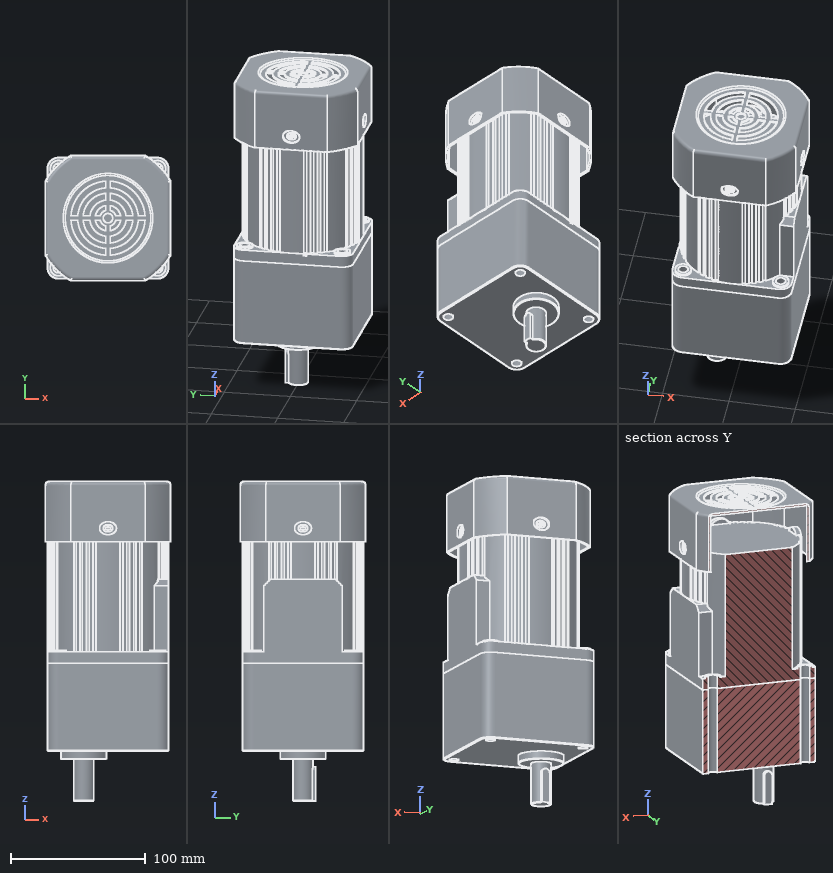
import cadquery as cq
import math

gearbox_height = 65.0
flange_thickness = 8.5
flange_top = gearbox_height + flange_thickness
cover_bottom = 155.0
cover_height = 45.0
cover_top = cover_bottom + cover_height
motor_top = 167.5

square_size = 90.0
square_half = square_size / 2
square_corner_radius = 8.5
gearbox_edge_chamfer = 0.7
mounting_circle_diameter = 104.0
mounting_offset = mounting_circle_diameter / 2 * math.cos(math.radians(45))
mounting_hole_diameter = 7.2
washer_diameter = 12.0
washer_height = 1.3

shaft_offset = -18.0
shaft_diameter = 15.0
shaft_end = -37.0
collar_diameter = 34.0
collar_height = 6.0
turned_edge_chamfer = 0.5
key_width = 6.0
key_top = -11.5
key_reach = 9.5

barrel_radius = square_half
groove_width = 2.3
groove_depth = 1.0
groove_first_angle = 13.0
groove_pitch_angle = 6.67
grooves_per_group = 4
drain_notch_drop = 1.5
drain_notch_depth = 2.5

terminal_width = 58.0
terminal_height = 54.0
terminal_chamfer = 5.0

cover_size = 93.0
cover_corner_radius = 54.0
cover_wall = (cover_size - square_size) / 2
cover_edge_fillet = 3.0
roof_thickness = 2.0

grille_recess_depth = 1.0
grille_recess_top_radius = 33.2
grille_recess_floor_radius = 31.7
grille_rings = [(27.5, 22.5), (18.5, 13.5), (9.5, 6.0)]
grille_bar_width = 3.4
grille_center_radius = 3.5

screw_height = 165.2
screw_recess_half_width = 6.3
screw_recess_half_height = 4.8
screw_recess_depth = 2.0
screw_pad_margin = 1.5
screw_pad_depth = 5.5
screw_head_half_width = 3.5
screw_head_half_height = 2.7
screw_head_rise = 0.6
screw_slot_length = 3.8
screw_slot_width = 1.2


def rounded_square(bottom, height):
    """Square block with rounded vertical corners."""
    block = cq.Workplane("XY").workplane(offset=bottom).rect(square_size, square_size).extrude(height)
    return block.edges("|Z").fillet(square_corner_radius)


def mounting_discs(diameter, bottom, height):
    """Four discs on the mounting circle, one at each corner."""
    corners = cq.Workplane("XY").workplane(offset=bottom).rect(2 * mounting_offset, 2 * mounting_offset,
                                                               forConstruction=True)
    return corners.vertices().circle(diameter / 2).extrude(height)


def shaft_cylinder(diameter, top, length):
    """Downward cylinder on the output shaft axis with a chamfered lower edge."""
    cylinder = cq.Workplane("XY").workplane(offset=top).center(shaft_offset, 0)
    cylinder = cylinder.circle(diameter / 2).extrude(-length)
    return cylinder.faces("<Z").chamfer(turned_edge_chamfer)


def on_each_side(shape):
    """Union of a shape made for the -Y side, repeated on all four sides."""
    ring = shape
    for side in range(1, 4):
        ring = ring.union(shape.rotate((0, 0, 0), (0, 0, 1), 90 * side))
    return ring


def side_ellipse(half_width, half_height, depth, length):
    """Elliptic plug on the screw axis, running outward from the given depth below the cover side."""
    plane = cq.Workplane("XZ", origin=(0, depth - cover_size / 2, screw_height))
    return plane.ellipse(half_width, half_height).extrude(length)


def screw_pads():
    """Elliptic pads that thicken the cover wall behind the screws and sit in the barrel."""
    return on_each_side(side_ellipse(screw_recess_half_width + screw_pad_margin,
                                     screw_recess_half_height + screw_pad_margin,
                                     screw_pad_depth, screw_pad_depth))


def screw_recesses():
    """Elliptic recesses for the screws."""
    return on_each_side(side_ellipse(screw_recess_half_width, screw_recess_half_height,
                                     screw_recess_depth, screw_recess_depth))


def screw_heads():
    """Low elliptic screw heads on the recess floors, each with a cross slot."""
    head = side_ellipse(screw_head_half_width, screw_head_half_height, screw_recess_depth, screw_head_rise)
    head_face_y = screw_recess_depth - screw_head_rise - cover_size / 2
    face = cq.Workplane("XZ", origin=(0, head_face_y, screw_height))
    for width, height in ((screw_slot_length, screw_slot_width), (screw_slot_width, screw_slot_length)):
        head = head.cut(face.rect(width, height).extrude(-screw_head_rise))
    return on_each_side(head)


def cover_blank(size, corner_radius, bottom, height):
    """Square prism whose corners are cut by a circle around the motor axis."""
    square = cq.Workplane("XY").workplane(offset=bottom).rect(size, size).extrude(height)
    return square.intersect(cq.Workplane("XY").workplane(offset=bottom).circle(corner_radius).extrude(height))


def make_gearbox():
    """Gear case with mounting holes, output collar, shaft and key."""
    case = rounded_square(0, gearbox_height).faces("<Z").chamfer(gearbox_edge_chamfer)
    case = case.cut(mounting_discs(mounting_hole_diameter, 0, gearbox_height))
    case = case.union(shaft_cylinder(collar_diameter, 0, collar_height))
    case = case.union(shaft_cylinder(shaft_diameter, 0, -shaft_end))

    key_radius = key_width / 2
    key = (
        cq.Workplane("XZ")
        .moveTo(shaft_offset - key_radius, shaft_end)
        .lineTo(shaft_offset - key_radius, key_top - key_radius)
        .threePointArc((shaft_offset, key_top), (shaft_offset + key_radius, key_top - key_radius))
        .lineTo(shaft_offset + key_radius, shaft_end)
        .close()
        .extrude(-key_reach)
    )
    return case.union(key)


def cooling_grooves():
    """Eight groups of grooves, mirrored about the middle of each side and repeated round the barrel."""
    length = motor_top - flange_top
    groove = cq.Workplane("XY").workplane(offset=flange_top).center(0, -barrel_radius)
    groove = groove.rect(groove_width, 2 * groove_depth).extrude(length).val()
    angles = [groove_first_angle + groove_pitch_angle * index for index in range(grooves_per_group)]
    grooves = []
    for side in range(4):
        for angle in angles:
            for signed_angle in (angle, -angle):
                grooves.append(groove.rotate((0, 0, 0), (0, 0, 1), 90 * side + signed_angle))
    return cq.Workplane(cq.Compound.makeCompound(grooves))


def terminal_box():
    """Box squaring off the +X side of the barrel, with both top side edges chamfered."""
    box = cq.Workplane("XY").box(square_half, terminal_width, terminal_height, centered=(False, True, False))
    box = box.faces(">Z").edges("|X").chamfer(terminal_chamfer)
    return box.translate((0, 0, flange_top))


def drain_notch():
    """Shallow notch in the -X flange edge, below the first groove on the -Y half."""
    groove_y = -barrel_radius * math.sin(math.radians(groove_first_angle))
    notch = cq.Workplane("XY").box(drain_notch_depth, groove_width, drain_notch_drop,
                                   centered=(False, True, False))
    return notch.translate((-square_half, groove_y, flange_top - drain_notch_drop))


def make_motor():
    """Grooved barrel on a square flange, with terminal box and seats for the screw pads of the cover."""
    barrel = cq.Workplane("XY").workplane(offset=flange_top).circle(barrel_radius)
    barrel = barrel.extrude(motor_top - flange_top).cut(cooling_grooves())
    washers = mounting_discs(washer_diameter, flange_top, washer_height)
    holes = mounting_discs(mounting_hole_diameter, gearbox_height, flange_thickness + washer_height)
    flange = rounded_square(gearbox_height, flange_thickness).union(washers).cut(holes)
    motor = flange.union(barrel).union(terminal_box())
    return motor.cut(drain_notch()).cut(screw_pads())


def grille_openings():
    """Ring slots interrupted by a cross of bars, with a round hole in the middle."""
    plane = cq.Workplane("XY").workplane(offset=cover_top - roof_thickness)
    slots = cq.Workplane("XY")
    for outer_radius, inner_radius in grille_rings:
        slots = slots.union(plane.circle(outer_radius).circle(inner_radius).extrude(roof_thickness))
    bar_length = 2 * grille_recess_top_radius
    slots = slots.cut(plane.rect(bar_length, grille_bar_width).extrude(roof_thickness))
    slots = slots.cut(plane.rect(grille_bar_width, bar_length).extrude(roof_thickness))
    return slots.union(plane.circle(grille_center_radius).extrude(roof_thickness))


def make_cover():
    """Hollow fan cover, open below, with a recessed grille and four sunk screws."""
    cover = cover_blank(cover_size, cover_corner_radius, cover_bottom, cover_height)
    cover = cover.faces(">Z").edges().fillet(cover_edge_fillet)
    cover = cover.cut(cover_blank(square_size, cover_corner_radius - cover_wall,
                                  cover_bottom, cover_height - roof_thickness))
    recess = cq.Solid.makeCone(grille_recess_floor_radius, grille_recess_top_radius, grille_recess_depth,
                               pnt=cq.Vector(0, 0, cover_top - grille_recess_depth))
    cover = cover.cut(cq.Workplane(recess)).cut(grille_openings())
    return cover.union(screw_pads()).cut(screw_recesses()).union(screw_heads())


gearbox = make_gearbox()
motor = make_motor()
cover = make_cover()

result = cq.Compound.makeCompound([gearbox.val(), motor.val(), cover.val()])